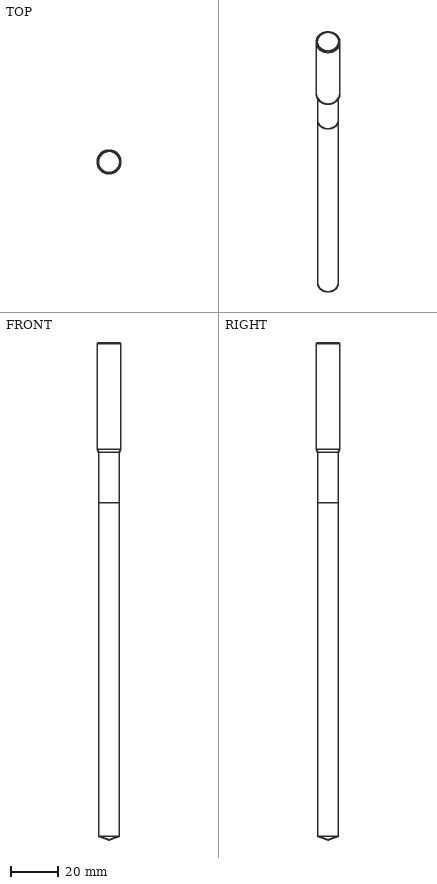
import cadquery as cq
import math

OVERALL_LENGTH = 210.0
SHANK_DIAMETER = 10.0
DRILL_DIAMETER = 8.8
POINT_ANGLE = 140.0

SHANK_LENGTH = 45.0
SHOULDER_LENGTH = 1.3
NECK_LENGTH = 21.2
TOP_CHAMFER = 0.5

shank_radius = SHANK_DIAMETER / 2
drill_radius = DRILL_DIAMETER / 2
point_height = drill_radius / math.tan(math.radians(POINT_ANGLE / 2))

shoulder_top = OVERALL_LENGTH - SHANK_LENGTH
shoulder_bottom = shoulder_top - SHOULDER_LENGTH
joint_height = shoulder_bottom - NECK_LENGTH


def make_shank():
    """Grip, tapered shoulder and neck, with the half profile turned about Z."""
    return (
        cq.Workplane("YZ")
        .moveTo(0, joint_height)
        .lineTo(-drill_radius, joint_height)
        .lineTo(-drill_radius, shoulder_bottom)
        .lineTo(-shank_radius, shoulder_top)
        .lineTo(-shank_radius, OVERALL_LENGTH - TOP_CHAMFER)
        .lineTo(-shank_radius + TOP_CHAMFER, OVERALL_LENGTH)
        .lineTo(0, OVERALL_LENGTH)
        .close()
        .revolve(360, (0, 0, 0), (0, 1, 0))
    )


def make_cutting_part():
    """Plain cylinder with a conical point, meeting the flat end of the neck."""
    return (
        cq.Workplane("XZ")
        .moveTo(0, 0)
        .lineTo(-drill_radius, point_height)
        .lineTo(-drill_radius, joint_height)
        .lineTo(0, joint_height)
        .close()
        .revolve(360, (0, 0, 0), (0, 1, 0))
    )


shank = make_shank()
cutting_part = make_cutting_part()

result = cq.Compound.makeCompound([shank.val(), cutting_part.val()])